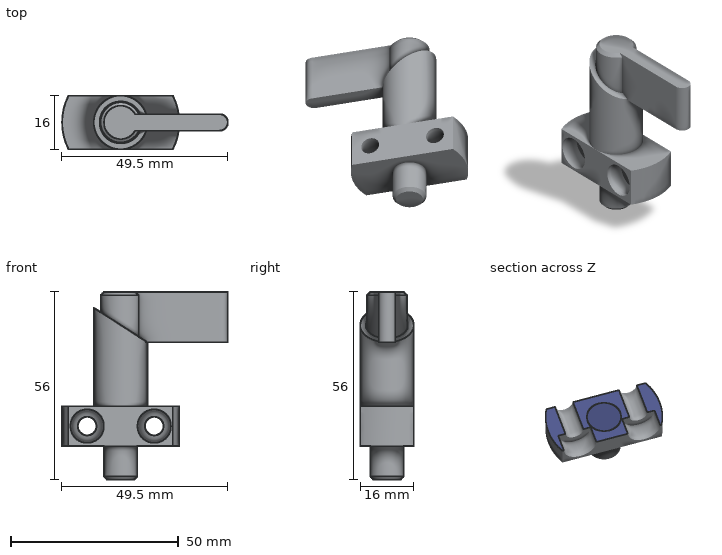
import cadquery as cq

TOTAL_HEIGHT = 56.0
TIP_LENGTH = 10.0
BASE_HEIGHT = 12.0
BASE_TOP = TIP_LENGTH + BASE_HEIGHT

BASE_DIAMETER = 35.0
BODY_WIDTH = 16.0
SLEEVE_RADIUS = BODY_WIDTH / 2
SLEEVE_HIGH = 51.3
BORE_DIAMETER = 12.55

SCREW_SPACING = 20.0
SCREW_HOLE_DIAMETER = 5.5
COUNTERBORE_DIAMETER = 10.0
COUNTERBORE_DEPTH = 5.6

PIN_DIAMETER = 12.0
TIP_DIAMETER = 10.0
PIN_CHAMFER = 1.0
LEVER_REACH = 32.0
LEVER_THICKNESS = 5.0
LEVER_HEIGHT = 15.0
LEVER_BOTTOM = TOTAL_HEIGHT - LEVER_HEIGHT
SLEEVE_LOW = LEVER_BOTTOM


def cylinder(diameter, bottom, top):
    """Upright cylinder on the pin axis."""
    return cq.Workplane("XY").workplane(offset=bottom).circle(diameter / 2).extrude(top - bottom)


def make_lever():
    """Flat lever from the pin axis towards +X, with a fully rounded end."""
    half_thickness = LEVER_THICKNESS / 2
    straight_end = LEVER_REACH - half_thickness
    return (
        cq.Workplane("XY")
        .workplane(offset=LEVER_BOTTOM)
        .moveTo(0, -half_thickness)
        .lineTo(straight_end, -half_thickness)
        .threePointArc((LEVER_REACH, 0), (straight_end, half_thickness))
        .lineTo(0, half_thickness)
        .close()
        .extrude(LEVER_HEIGHT)
    )


def make_base():
    """Round disc trimmed to two flat sides."""
    flats = cq.Workplane("XY").box(BASE_DIAMETER, BODY_WIDTH, BASE_HEIGHT, centered=(True, True, False))
    return cylinder(BASE_DIAMETER, TIP_LENGTH, BASE_TOP).intersect(flats.translate((0, 0, TIP_LENGTH)))


def make_sleeve():
    """Cylinder whose top slopes down from -X to +X."""
    profile = (
        cq.Workplane("XZ")
        .polyline([
            (-SLEEVE_RADIUS, BASE_TOP),
            (SLEEVE_RADIUS, BASE_TOP),
            (SLEEVE_RADIUS, SLEEVE_LOW),
            (-SLEEVE_RADIUS, SLEEVE_HIGH),
        ])
        .close()
        .extrude(SLEEVE_RADIUS, both=True)
    )
    return cylinder(BODY_WIDTH, BASE_TOP, SLEEVE_HIGH).intersect(profile)


def make_screw_hole(x):
    """Cutter for a through hole counterbored from the -Y side."""
    front = cq.Workplane("XZ", origin=(x, -BODY_WIDTH / 2, TIP_LENGTH + BASE_HEIGHT / 2))
    hole = front.circle(SCREW_HOLE_DIAMETER / 2).extrude(-BODY_WIDTH)
    counterbore = front.circle(COUNTERBORE_DIAMETER / 2).extrude(-COUNTERBORE_DEPTH)
    return hole.union(counterbore)


def make_housing():
    """Base and sleeve, bored for the pin and notched for the lever."""
    housing = make_base().union(make_sleeve())
    housing = housing.cut(cylinder(TIP_DIAMETER, TIP_LENGTH, BASE_TOP))
    housing = housing.cut(cylinder(BORE_DIAMETER, BASE_TOP, SLEEVE_HIGH))
    housing = housing.cut(make_lever())
    for side in (-1, 1):
        housing = housing.cut(make_screw_hole(side * SCREW_SPACING / 2))
    return housing


def make_lever_pin():
    """Stepped pin, chamfered at both ends, with the lever at its top."""
    tip = cylinder(TIP_DIAMETER, 0, BASE_TOP).faces("<Z").chamfer(PIN_CHAMFER)
    shank = cylinder(PIN_DIAMETER, BASE_TOP, TOTAL_HEIGHT).faces(">Z").chamfer(PIN_CHAMFER)
    return tip.union(shank).union(make_lever())


housing = make_housing()
lever_pin = make_lever_pin()
result = cq.Compound.makeCompound([housing.val(), lever_pin.val()])